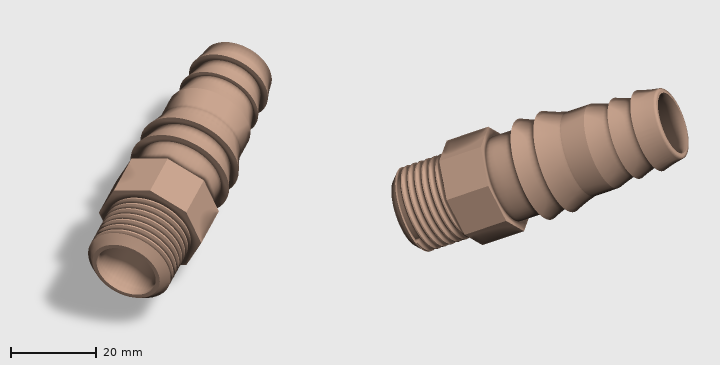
import cadquery as cq

length = 70.0
bore_diameter = 15.0

thread_diameter = 20.9
thread_root_diameter = 18.6
thread_pitch = 1.8
thread_crest_width = 0.35
thread_base_width = 1.7
thread_first_crest = 2.3
thread_turns = 7
lead_in_length = 2.0
lead_in_end_diameter = 17.1

grip_start = 15.0
grip_length = 11.0
grip_corner_diameter = 26.0
grip_sides = 8

stem_diameter = 20.9
barb_length = 6.0
large_barb_start = 33.6
large_barb_count = 2
large_barb_diameter = 25.0
small_barb_diameter = 20.0
taper_tip_diameter = 17.6
middle_barb_tip_diameter = 16.45
end_barb_tip_diameter = 17.35
barb_bow = 0.15
tip_round = 0.6

grip_end = grip_start + grip_length
small_barb_start = length - 2 * barb_length
taper_start = small_barb_start - barb_length
bore_radius = bore_diameter / 2
thread_radius = thread_diameter / 2
thread_root_radius = thread_root_diameter / 2
stem_radius = stem_diameter / 2


def ring(inner_radius, outer_radius, start, end):
    """Tube around the Y axis between two Y positions."""
    return (
        cq.Workplane("XZ", origin=(0, start, 0))
        .circle(outer_radius)
        .circle(inner_radius)
        .extrude(start - end)
    )


def barb(base_diameter, tip_diameter, start):
    """Ring that narrows along +Y with a slightly hollow flank."""
    base_radius = base_diameter / 2
    tip_radius = tip_diameter / 2
    end = start + barb_length
    middle = ((base_radius + tip_radius) / 2 - barb_bow, (start + end) / 2)
    return (
        cq.Workplane("XY")
        .moveTo(bore_radius, start)
        .lineTo(base_radius, start)
        .threePointArc(middle, (tip_radius, end))
        .lineTo(bore_radius, end)
        .close()
        .revolve(360, (0, 0), (0, 1))
    )


def make_spigot():
    """Plain core under the thread and the conical lead-in at its end."""
    core = ring(bore_radius, thread_root_radius, lead_in_length, grip_start)
    lead_in = (
        cq.Workplane("XY")
        .moveTo(bore_radius, 0)
        .lineTo(lead_in_end_diameter / 2, 0)
        .lineTo(thread_radius, lead_in_length)
        .lineTo(bore_radius, lead_in_length)
        .close()
        .revolve(360, (0, 0), (0, 1))
    )
    return core.union(lead_in)


def make_grip():
    """Octagon with corners on the X and Z axes."""
    return (
        cq.Workplane("XZ", origin=(0, grip_start, 0))
        .polygon(grip_sides, grip_corner_diameter)
        .circle(bore_radius)
        .extrude(-grip_length)
    )


def make_hose_end():
    """Stem with two large barbs, a taper and two small barbs."""
    hose_end = ring(bore_radius, stem_radius, grip_end, taper_start)
    for index in range(large_barb_count):
        start = large_barb_start + index * barb_length
        hose_end = hose_end.union(barb(large_barb_diameter, stem_diameter, start))
    hose_end = hose_end.union(barb(stem_diameter, taper_tip_diameter, taper_start))
    hose_end = hose_end.union(barb(small_barb_diameter, middle_barb_tip_diameter, small_barb_start))
    end_barb = barb(small_barb_diameter, end_barb_tip_diameter, length - barb_length)
    end_barb = end_barb.edges(cq.selectors.RadiusNthSelector(1)).fillet(tip_round)
    return hose_end.union(end_barb)


def make_thread():
    """Right-handed helical ridge seated on the spigot core."""
    helix = cq.Wire.makeHelix(thread_pitch, thread_pitch * thread_turns, thread_root_radius)
    ridge = (
        cq.Workplane("XZ")
        .moveTo(thread_root_radius, -thread_base_width / 2)
        .lineTo(thread_radius, -thread_crest_width / 2)
        .lineTo(thread_radius, thread_crest_width / 2)
        .lineTo(thread_root_radius, thread_base_width / 2)
        .close()
        .sweep(cq.Workplane(obj=helix), isFrenet=True)
    )
    ridge = ridge.rotate((0, 0, 0), (1, 0, 0), -90)
    ridge = ridge.rotate((0, 0, 0), (0, 1, 0), 90)
    ridge = ridge.translate((0, thread_first_crest, 0))
    return ridge.intersect(ring(bore_radius, grip_corner_diameter / 2, lead_in_length, grip_start))


fitting = make_spigot().union(make_grip()).union(make_hose_end())
thread = make_thread()

result = cq.Compound.makeCompound([fitting.val(), *thread.solids().vals()])